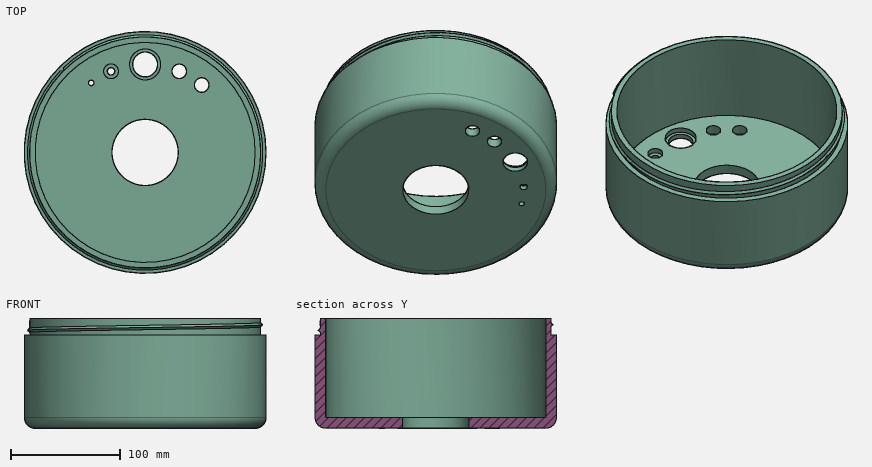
import cadquery as cq
import math

outer_radius = 110.0
total_height = 100.0
wall_thickness = 10.0
floor_thickness = 10.0
bottom_fillet = 10.0

neck_radius = 105.0
neck_height = 15.0
inner_radius = outer_radius - wall_thickness

thread_depth = 2.0
thread_half_width = thread_depth
thread_pitch = 10.0
thread_root_overlap = 1.0
thread_start_angle = 135.0
thread_gap_size = 8.0
thread_end_height = total_height - thread_half_width
thread_start_height = thread_end_height - thread_pitch

center_hole_diameter = 60.0
hole_circle_radius = 80.0
plain_holes = [(127.8, 4.8), (67.2, 13.0), (50.0, 13.0)]
counterbored_holes = [(112.8, 6.5, 13.5), (90.0, 22.4, 28.2)]
counterbore_depth = 5.0


def make_cup():
    """Round cup with a filleted base, a stepped neck and a flat-floored cavity."""
    body_height = total_height - neck_height
    body = cq.Workplane("XY").circle(outer_radius).extrude(body_height)
    body = body.faces("<Z").edges().fillet(bottom_fillet)
    neck = cq.Workplane("XY").workplane(offset=body_height).circle(neck_radius).extrude(neck_height)
    cavity_height = total_height - floor_thickness
    cavity = cq.Workplane("XY").workplane(offset=floor_thickness).circle(inner_radius).extrude(cavity_height)
    return body.union(neck).cut(cavity)


def make_thread_gap():
    """Square-cornered block that trims both thread ends, one parallel to XZ and one to YZ."""
    corner_x = neck_radius * math.cos(math.radians(thread_start_angle))
    corner_y = neck_radius * math.sin(math.radians(thread_start_angle))
    block = cq.Workplane("XY").rect(thread_gap_size, thread_gap_size).extrude(total_height)
    return block.translate((corner_x - thread_gap_size / 2, corner_y + thread_gap_size / 2, 0))


def make_thread():
    """V-shaped ridge swept along one turn of a helix, its root sunk into the neck."""
    root_radius = neck_radius - thread_root_overlap
    helix = cq.Wire.makeHelix(thread_pitch, thread_pitch, neck_radius)
    profile = (
        cq.Workplane("XZ")
        .moveTo(root_radius, -thread_half_width)
        .lineTo(neck_radius, -thread_half_width)
        .lineTo(neck_radius + thread_depth, 0)
        .lineTo(neck_radius, thread_half_width)
        .lineTo(root_radius, thread_half_width)
        .close()
    )
    ridge = profile.sweep(cq.Workplane(obj=helix), isFrenet=True)
    ridge = ridge.rotate((0, 0, 0), (0, 0, 1), thread_start_angle)
    ridge = ridge.translate((0, 0, thread_start_height))
    return ridge.cut(make_thread_gap())


def hole_cutter(angle, diameter, bottom):
    """Vertical cylinder on the hole circle, from the given height to the floor surface."""
    x = hole_circle_radius * math.cos(math.radians(angle))
    y = hole_circle_radius * math.sin(math.radians(angle))
    height = floor_thickness - bottom
    return cq.Workplane("XY").workplane(offset=bottom).center(x, y).circle(diameter / 2).extrude(height)


def cut_floor_holes(part):
    """Cut the central opening, the plain holes and the counterbored holes."""
    part = part.cut(cq.Workplane("XY").circle(center_hole_diameter / 2).extrude(floor_thickness))
    for angle, diameter in plain_holes:
        part = part.cut(hole_cutter(angle, diameter, 0))
    for angle, diameter, counterbore_diameter in counterbored_holes:
        part = part.cut(hole_cutter(angle, diameter, 0))
        part = part.cut(hole_cutter(angle, counterbore_diameter, floor_thickness - counterbore_depth))
    return part


result = cut_floor_holes(make_cup().union(make_thread()))